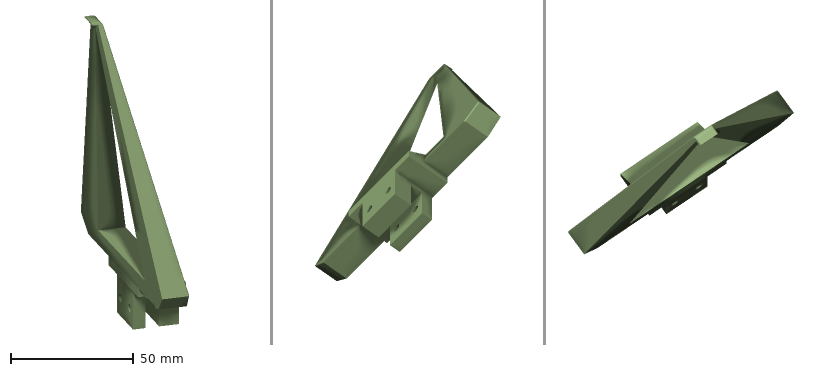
import cadquery as cq

total_height = 134.25
total_depth = 35.75
frame_width = 105.0

fork_width = 20.6
fork_depth = 19.8
fork_height = 17.6
slot_width = 6.0
slot_depth = 15.0
rear_leg_thickness = 8.5
hole_diameter = 3.3
hole_spacing = 12.0
hole_height = 7.85

shoe_width = 38.5
shoe_depth = 20.5
shoe_thickness = 4.0
gusset_rise_per_depth = 0.65
gusset_reach = 10.5

frame_bottom = fork_height + shoe_thickness
corner_cut = 7.3
corner_height = frame_bottom + corner_cut
half_bottom = frame_width / 2 - corner_cut
tip_width = 8.4
rear_depth_bottom = 8.0
rear_depth_top = 31.0
front_depth_top = 33.0
window_width = 60.0
window_top = 131.4
edge_radius = 0.5

lip_thickness = 1.0
lip_bottom = total_height - lip_thickness
lip_front_radius = 0.6
tip_radius = 2.0


def yz_prism(points, width):
    """Extrude a (y, z) outline symmetrically about the YZ plane."""
    return cq.Workplane("YZ").polyline(points).close().extrude(width / 2, both=True)


def xz_prism(points):
    """Extrude an (x, z) outline from the back of the part to its front."""
    return cq.Workplane("XZ").polyline(points).close().extrude(total_depth)


def nearest(x, y, z):
    """Select the edge whose middle lies nearest to a point."""
    return cq.selectors.NearestToPointSelector((x, y, z))


def frame_outline():
    return xz_prism([
        (-half_bottom, frame_bottom),
        (half_bottom, frame_bottom),
        (frame_width / 2, corner_height),
        (tip_width / 2, total_height),
        (-tip_width / 2, total_height),
        (-frame_width / 2, corner_height),
    ])


def frame_profile():
    profile = yz_prism([
        (-rear_depth_bottom, frame_bottom),
        (-shoe_depth, frame_bottom),
        (-front_depth_top, lip_bottom),
        (-total_depth, lip_bottom),
        (-total_depth, total_height),
        (-rear_depth_top, total_height),
    ], frame_width)
    return profile.edges(nearest(0, -rear_depth_top, total_height)).fillet(tip_radius)


def round_frame_edges(frame):
    frame = frame.edges(nearest(0, -total_depth, lip_bottom)).fillet(lip_front_radius)
    rounded_edges = frame.faces(">Z").edges("not |X").vals()
    corner_x = (half_bottom + frame_width / 2) / 2
    corner_z = (frame_bottom + corner_height) / 2
    for side in (-1, 1):
        rounded_edges += frame.edges(nearest(side * corner_x, -rear_depth_bottom, corner_z)).vals()
    return frame.newObject(rounded_edges).fillet(edge_radius)


def make_frame():
    window = xz_prism([
        (-window_width / 2, corner_height),
        (window_width / 2, corner_height),
        (0, window_top),
    ])
    frame = frame_outline().intersect(frame_profile())
    return round_frame_edges(frame).cut(window)


def make_shoe():
    return yz_prism([
        (0, fork_height),
        (-shoe_depth, fork_height),
        (-shoe_depth, frame_bottom),
        (-gusset_reach, frame_bottom),
        (-gusset_reach, frame_bottom + gusset_reach * gusset_rise_per_depth),
        (0, frame_bottom),
    ], shoe_width)


def make_fork():
    slot_rear = -rear_leg_thickness
    slot_front = slot_rear - slot_width
    fork = yz_prism([
        (0, 0),
        (slot_rear, 0),
        (slot_rear, slot_depth),
        (slot_front, slot_depth),
        (slot_front, 0),
        (-fork_depth, 0),
        (-fork_depth, fork_height),
        (0, fork_height),
    ], fork_width)
    holes = (
        cq.Workplane("XZ")
        .pushPoints([(-hole_spacing / 2, hole_height), (hole_spacing / 2, hole_height)])
        .circle(hole_diameter / 2)
        .extrude(fork_depth)
    )
    return fork.cut(holes)


result = make_frame().union(make_shoe()).union(make_fork())